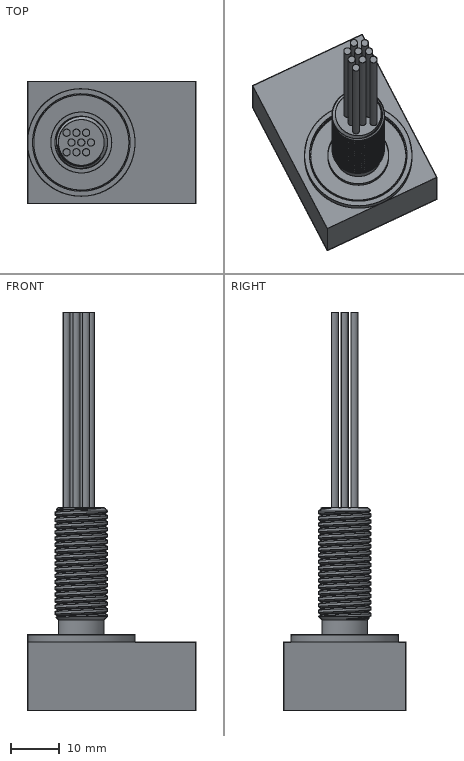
import cadquery as cq

BLOCK_LENGTH = 34.5
BLOCK_WIDTH = 25.0
BLOCK_HEIGHT = 14.0
TOTAL_HEIGHT = 81.5

FLANGE_DIAMETER = 22
FLANGE_THICKNESS = 1.55
FLANGE_X = FLANGE_DIAMETER / 2 - BLOCK_LENGTH / 2
FLANGE_TOP = BLOCK_HEIGHT + FLANGE_THICKNESS

RECESS_DEPTH = 1.0
RECESS_DIAMETER = 20.0
RECESS_FLOOR_DIAMETER = 19.5
RECESS_STEP_DEPTH = 0.1
HUB_DIAMETER = 12.5

NECK_DIAMETER = 9.4
THREAD_BOTTOM = 18.6
THREAD_TOP = 41.6
THREAD_DIAMETER = 10.75
THREAD_ROOT_DIAMETER = 9.8
THREAD_CREST_WIDTH = 0.54
THREAD_ROOT_WIDTH = 0.2
THREAD_FLANK_WIDTH = 0.285
THREAD_PITCH = THREAD_CREST_WIDTH + THREAD_ROOT_WIDTH + 2 * THREAD_FLANK_WIDTH
THREAD_CHAMFER = (THREAD_DIAMETER - NECK_DIAMETER) / 2
THREAD_START_ANGLE = -30

THREAD_OVERRUN = 2 * THREAD_PITCH
ROD_OVERRUN = 2 * THREAD_OVERRUN
CUTTER_OVERHANG = 0.2

WIRE_DIAMETER = 1.5
WIRE_GAP = 0.53
WIRE_PITCH = WIRE_DIAMETER + WIRE_GAP
OUTER_ROW_SHIFT = -WIRE_PITCH / 2


def cylinder(diameter, bottom, top):
    """Upright cylinder on the flange axis between two heights."""
    base = cq.Workplane("XY", origin=(FLANGE_X, 0, bottom))
    return base.circle(diameter / 2).extrude(top - bottom)


def make_block():
    return cq.Workplane("XY").box(BLOCK_LENGTH, BLOCK_WIDTH, BLOCK_HEIGHT, centered=(True, True, False))


def make_flange():
    flange = cylinder(FLANGE_DIAMETER, BLOCK_HEIGHT, FLANGE_TOP)
    upper = cylinder(RECESS_DIAMETER, FLANGE_TOP - RECESS_STEP_DEPTH, FLANGE_TOP)
    lower = cylinder(RECESS_FLOOR_DIAMETER, FLANGE_TOP - RECESS_DEPTH, FLANGE_TOP)
    hub = cylinder(HUB_DIAMETER, BLOCK_HEIGHT, FLANGE_TOP)
    return flange.cut(upper).cut(lower).union(hub)


def make_groove():
    """Right-handed thread groove that runs past both ends of the barrel."""
    bottom = THREAD_BOTTOM - THREAD_OVERRUN
    height = THREAD_TOP - THREAD_BOTTOM + 2 * THREAD_OVERRUN
    root_radius = THREAD_ROOT_DIAMETER / 2
    outer_radius = THREAD_DIAMETER / 2 + CUTTER_OVERHANG
    root_half = THREAD_ROOT_WIDTH / 2
    flank_slope = THREAD_FLANK_WIDTH / (THREAD_DIAMETER / 2 - root_radius)
    outer_half = root_half + (outer_radius - root_radius) * flank_slope
    profile = cq.Workplane("XZ").polyline([
        (root_radius, -root_half),
        (outer_radius, -outer_half),
        (outer_radius, outer_half),
        (root_radius, root_half),
    ]).close()
    helix = cq.Workplane("XY").add(cq.Wire.makeHelix(THREAD_PITCH, height, root_radius))
    groove = profile.sweep(helix, isFrenet=True).rotate((0, 0, 0), (0, 0, 1), THREAD_START_ANGLE)
    return groove.translate((FLANGE_X, 0, bottom))


def make_threaded_barrel():
    """Groove an overlong rod, then trim it to the chamfered barrel."""
    rod = cylinder(THREAD_DIAMETER, THREAD_BOTTOM - ROD_OVERRUN, THREAD_TOP + ROD_OVERRUN)
    barrel = cylinder(THREAD_DIAMETER, THREAD_BOTTOM, THREAD_TOP)
    barrel = barrel.faces("<Z or >Z").chamfer(THREAD_CHAMFER)
    return rod.cut(make_groove()).intersect(barrel)


def make_wires():
    points = []
    for row in (-1, 0, 1):
        row_x = FLANGE_X + abs(row) * OUTER_ROW_SHIFT
        for column in (-1, 0, 1):
            points.append((row_x + column * WIRE_PITCH, row * WIRE_PITCH))
    base = cq.Workplane("XY").workplane(offset=THREAD_TOP).pushPoints(points)
    return base.circle(WIRE_DIAMETER / 2).extrude(TOTAL_HEIGHT - THREAD_TOP)


neck = cylinder(NECK_DIAMETER, BLOCK_HEIGHT, THREAD_TOP)
result = make_block().union(make_flange()).union(neck)
result = result.union(make_threaded_barrel()).union(make_wires())